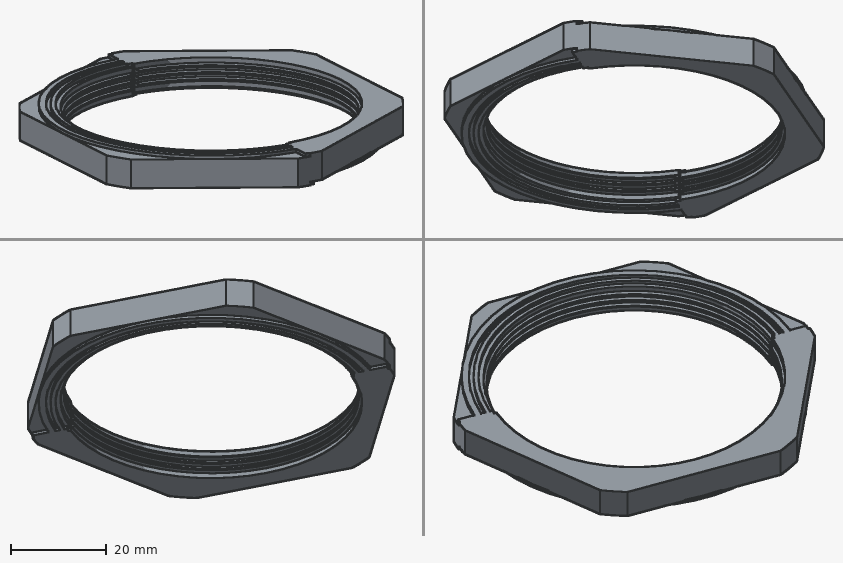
import cadquery as cq
import math

across_flats = 72.0
corner_radius = 40.0
height = 7.0
step = 0.7
body_height = height - step

major_radius = 62.9 / 2
minor_radius = 30.8
pitch = 1.5
ridge_count = 3
crest_width = 0.2
flank_height = (major_radius - minor_radius) * math.tan(math.radians(30))

ribs = [(32.5, 33.5), (34.5, across_flats / 2)]

tab_inner = 31.9
tab_outer = 39.7
tab_reach = 1.0
relief_root_half_width = 0.2
relief_mouth_half_width = 1.1

margin = 0.8


def hexagon_blank():
    """Full-height hexagon with its corners rounded and vertices on the X axis."""
    across_corners = across_flats / math.cos(math.radians(30))
    hexagon = cq.Workplane("XY").polygon(6, across_corners).extrude(height)
    return hexagon.intersect(cq.Workplane("XY").circle(corner_radius).extrude(height))


def front_space(z_bottom, z_top):
    """Block covering everything on the -Y side between two heights."""
    depth = corner_radius + margin
    block = cq.Workplane("XY").box(2 * depth, depth, z_top - z_bottom, centered=(True, False, False))
    return block.translate((0, -depth, z_bottom))


def ring(inner, outer, z_bottom, z_top):
    return cq.Workplane("XY").workplane(offset=z_bottom).circle(outer).circle(inner).extrude(z_top - z_bottom)


def thread_ridge(z_middle):
    """Full ring with a trapezoid section, rooted slightly inside the nut wall."""
    half_crest = crest_width / 2
    half_root = half_crest + flank_height
    buried_radius = major_radius + margin / 2
    section = [
        (buried_radius, z_middle - half_root),
        (major_radius, z_middle - half_root),
        (minor_radius, z_middle - half_crest),
        (minor_radius, z_middle + half_crest),
        (major_radius, z_middle + half_root),
        (buried_radius, z_middle + half_root),
    ]
    return cq.Workplane("XZ").polyline(section).close().revolve(360, (0, 0, 0), (0, 1, 0))


def thread_relief(side):
    """Tapered notch clearing the ridges at the split plane on one side of the bore."""
    slope = (relief_mouth_half_width - relief_root_half_width) / (major_radius - minor_radius)
    mouth_half_width = relief_mouth_half_width + slope * margin
    mouth_x = side * (minor_radius - margin)
    root_x = side * major_radius
    outline = [
        (mouth_x, -mouth_half_width),
        (root_x, -relief_root_half_width),
        (root_x, relief_root_half_width),
        (mouth_x, mouth_half_width),
    ]
    return cq.Workplane("XY").polyline(outline).close().extrude(height)


def tab(side):
    """Tab of the front half, lying at the bottom and reaching under the back half."""
    length = tab_outer - tab_inner
    middle = side * (tab_inner + tab_outer) / 2
    block = cq.Workplane("XY").box(length, 2 * tab_reach, step, centered=(True, True, False))
    return block.translate((middle, 0, 0))


def front_half():
    """Half nut on the -Y side: flat bottom, ribbed top and threaded bore."""
    bore = cq.Workplane("XY").circle(major_radius).extrude(height)
    half = hexagon_blank().cut(bore).intersect(front_space(0, body_height))
    for inner, outer in ribs:
        half = half.union(ring(inner, outer, body_height, height).intersect(front_space(0, height)))
    for index in range(ridge_count):
        z_middle = body_height / 2 + (index - (ridge_count - 1) / 2) * pitch
        half = half.union(thread_ridge(z_middle).intersect(front_space(0, body_height)))
    for side in (-1, 1):
        half = half.union(tab(side)).cut(thread_relief(side))
    return half


front = front_half()
back = front.rotate((0, 0, height / 2), (1, 0, height / 2), 180)
result = front.union(back)